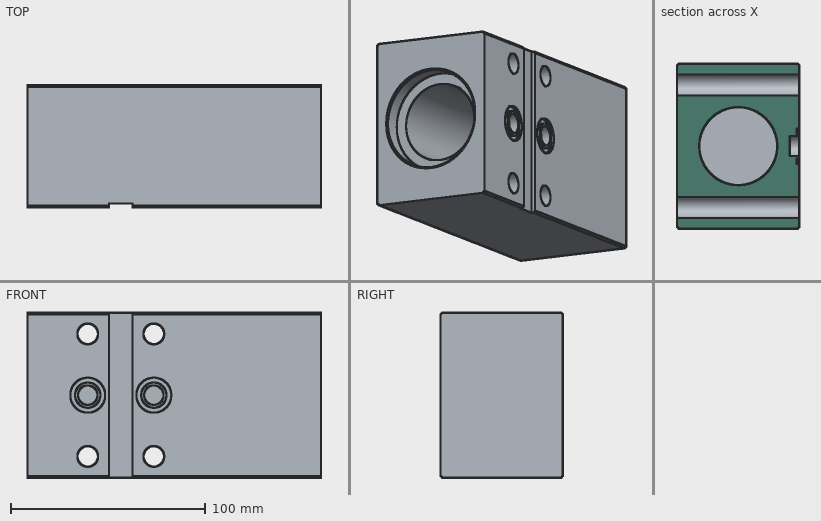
import cadquery as cq

length = 151.0
width = 63.0
height = 85.0
edge_chamfer = 1.0
front_y = -width / 2

slot_center_x = 48.0
slot_width = 12.0
slot_depth = 2.0

column_spacing = 34.0
column_xs = [slot_center_x - column_spacing / 2, slot_center_x + column_spacing / 2]
bolt_hole_diameter = 10.5
bolt_row_spacing = 63.0

port_diameter = 10.0
port_depth = 5.0
groove_outer_diameter = 18.0
groove_inner_diameter = 13.0
groove_depth = 1.4

bore_diameter = 40.0
bore_depth = 120.0
counterbore_diameter = 51.0
counterbore_depth = 10.0
counterbore_chamfer = 0.7


def make_block():
    block = cq.Workplane("XY").box(length, width, height, centered=(False, True, True))
    return block.edges("|X").chamfer(edge_chamfer)


def make_slot():
    slot = cq.Workplane("XY").box(slot_width, slot_depth, height, centered=(True, False, True))
    return slot.translate((slot_center_x, front_y, 0))


def make_front_drilling(x, z, diameter, depth):
    """Cylinder that runs from the front face into the block."""
    plane = cq.Plane(origin=(x, front_y, z), xDir=(1, 0, 0), normal=(0, 1, 0))
    return cq.Workplane(plane).circle(diameter / 2).extrude(depth)


def make_port(x):
    """Flat-bottomed drilling and the ring groove around it."""
    drilling = make_front_drilling(x, 0, port_diameter, port_depth)
    groove_core = make_front_drilling(x, 0, groove_inner_diameter, groove_depth)
    groove = make_front_drilling(x, 0, groove_outer_diameter, groove_depth).cut(groove_core)
    return drilling, groove


def make_bore():
    """Blind bore with a counterbore chamfered at its mouth."""
    bore_radius = bore_diameter / 2
    counterbore_radius = counterbore_diameter / 2
    profile = (
        cq.Workplane("XY")
        .moveTo(0, 0)
        .lineTo(0, counterbore_radius + counterbore_chamfer)
        .lineTo(counterbore_chamfer, counterbore_radius)
        .lineTo(counterbore_depth, counterbore_radius)
        .lineTo(counterbore_depth, bore_radius)
        .lineTo(bore_depth, bore_radius)
        .lineTo(bore_depth, 0)
        .close()
    )
    return profile.revolve(360, (0, 0, 0), (1, 0, 0))


result = make_block().cut(make_slot()).cut(make_bore())
for column_x in column_xs:
    for port_cut in make_port(column_x):
        result = result.cut(port_cut)
    for row_z in (-bolt_row_spacing / 2, bolt_row_spacing / 2):
        result = result.cut(make_front_drilling(column_x, row_z, bolt_hole_diameter, width))